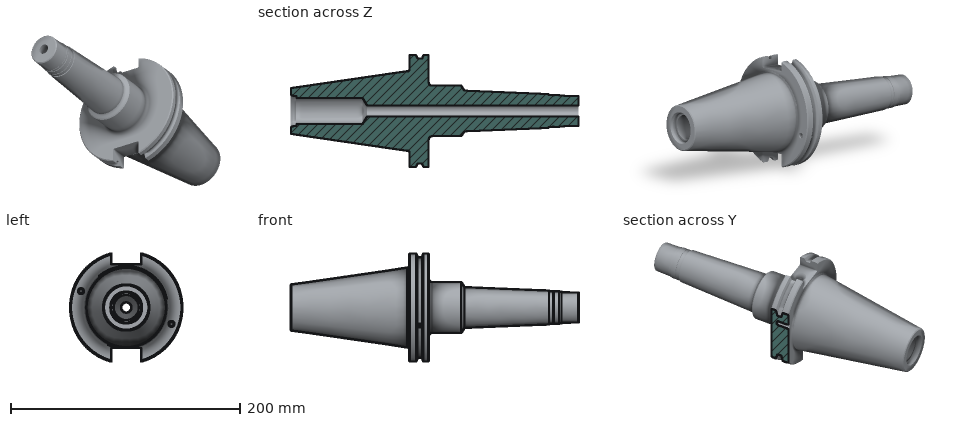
import cadquery as cq
import math

total_length = 251.5
taper_length = 101.6
flange_start = 103.5
flange_end = 120.8
collar_end = 149.5
shoulder_end = 151.0
neck_start = 151.7
neck_end = 225.5

taper_ratio = 7 / 24
gauge_diameter = 70.0
small_end_diameter = gauge_diameter - taper_length * taper_ratio
small_end_chamfer = 0.8
relief_diameter = 69.2
relief_fillet = 1.64

flange_diameter = 98.0
flange_chamfer = 0.88
groove_center = 112.7
groove_floor_diameter = 91.8
groove_floor_width = 3.5
groove_flank_angle = 26.0

slot_width = 26.2
slot_corner_fillet = 0.63
upper_slot_height = 37.7
lower_slot_height = 35.5
dimple_diameter = 9.5

collar_diameter = 44.5
collar_fillet = 2.8
collar_chamfer = 0.8
shoulder_diameter = 38.2
neck_start_diameter = 36.0
neck_end_diameter = 30.0

ring_diameter = 28.5
nose_diameter = 27.2
tip_diameter = 26.5
tip_chamfer = 0.8
ring_groove_depth = 0.38
first_ring_groove_start = 229.0
first_ring_groove_width = 0.8
second_ring_groove_start = 234.2
second_ring_groove_width = 2.3

counterbore_diameter = 26.2
counterbore_depth = 5.0
counterbore_chamfer_diameter = 28.0
counterbore_chamfer_depth = 2.3
bore_diameter = 22.0
bore_depth = 63.0
through_diameter = 8.8

drill_point_angle = 118.0

coolant_angle = 20.0
coolant_radius = 42.0
coolant_entry_diameter = 5.0
coolant_entry_depth = 1.3
coolant_hole_diameter = 4.0
radial_hole_diameter = 3.3


def drill_point_length(diameter):
    """Length of the cone left by a drill of the given diameter."""
    return diameter / 2 / math.tan(math.radians(drill_point_angle / 2))


def revolve_about_x(points):
    """Turn a closed (x, radius) outline about the X axis."""
    return cq.Workplane("XY").polyline(points).close().revolve(360, (0, 0, 0), (1, 0, 0))


def make_body():
    """Turned outside shape."""
    small_r = small_end_diameter / 2
    flange_r = flange_diameter / 2
    floor_r = groove_floor_diameter / 2
    collar_r = collar_diameter / 2
    nose_r = nose_diameter / 2
    ring_r = ring_diameter / 2
    tip_r = tip_diameter / 2
    floor_half = groove_floor_width / 2
    mouth_half = floor_half + (flange_r - floor_r) * math.tan(math.radians(groove_flank_angle))
    relief_r = relief_diameter / 2
    relief_middle = relief_fillet * (1 - math.sqrt(0.5))
    fillet_middle = collar_fillet * (1 - math.sqrt(0.5))
    ring_zone_end = second_ring_groove_start + second_ring_groove_width
    return (
        cq.Workplane("XY")
        .moveTo(0, 0)
        .lineTo(0, small_r - small_end_chamfer)
        .lineTo(small_end_chamfer, small_r + small_end_chamfer * taper_ratio / 2)
        .lineTo(taper_length, gauge_diameter / 2)
        .lineTo(taper_length, relief_r)
        .lineTo(flange_start - relief_fillet, relief_r)
        .threePointArc(
            (flange_start - relief_middle, relief_r + relief_middle),
            (flange_start, relief_r + relief_fillet),
        )
        .lineTo(flange_start, flange_r - flange_chamfer)
        .lineTo(flange_start + flange_chamfer, flange_r)
        .lineTo(groove_center - mouth_half, flange_r)
        .lineTo(groove_center - floor_half, floor_r)
        .lineTo(groove_center + floor_half, floor_r)
        .lineTo(groove_center + mouth_half, flange_r)
        .lineTo(flange_end - flange_chamfer, flange_r)
        .lineTo(flange_end, flange_r - flange_chamfer)
        .lineTo(flange_end, collar_r + collar_fillet)
        .threePointArc(
            (flange_end + fillet_middle, collar_r + fillet_middle),
            (flange_end + collar_fillet, collar_r),
        )
        .lineTo(collar_end - collar_chamfer, collar_r)
        .lineTo(collar_end, collar_r - collar_chamfer)
        .lineTo(shoulder_end, shoulder_diameter / 2)
        .lineTo(neck_start, neck_start_diameter / 2)
        .lineTo(neck_end, neck_end_diameter / 2)
        .lineTo(neck_end, ring_r)
        .lineTo(ring_zone_end, ring_r)
        .lineTo(ring_zone_end, nose_r)
        .lineTo(total_length - tip_chamfer, tip_r)
        .lineTo(total_length, tip_r - tip_chamfer)
        .lineTo(total_length, 0)
        .close()
        .revolve(360, (0, 0, 0), (1, 0, 0))
    )


def make_ring_groove(start, width):
    """Shallow square groove around the ring zone of the nose."""
    outer_r = ring_diameter / 2
    floor_r = outer_r - ring_groove_depth
    return revolve_about_x([
        (start, floor_r),
        (start, outer_r),
        (start + width, outer_r),
        (start + width, floor_r),
    ])


def make_bore():
    """Stepped bore from the small end, with a conical bottom and a through hole."""
    through_r = through_diameter / 2
    cone_length = drill_point_length(bore_diameter - through_diameter)
    return revolve_about_x([
        (0, 0),
        (0, counterbore_chamfer_diameter / 2),
        (counterbore_chamfer_depth, counterbore_diameter / 2),
        (counterbore_depth, counterbore_diameter / 2),
        (counterbore_depth, bore_diameter / 2),
        (bore_depth, bore_diameter / 2),
        (bore_depth + cone_length, through_r),
        (total_length, through_r),
        (total_length, 0),
    ])


def make_drive_slots():
    """Slots through the flange above and below the axis, with filleted floor corners."""
    slot_length = flange_end - taper_length
    slot_x = (taper_length + flange_end) / 2
    slot = (
        cq.Workplane("XY")
        .box(slot_length, slot_width, flange_diameter / 2, centered=(True, True, False))
        .edges("|X and <Z")
        .fillet(slot_corner_fillet)
        .translate((slot_x, 0, 0))
    )
    upper = slot.translate((0, 0, upper_slot_height))
    lower = slot.rotate((0, 0, 0), (1, 0, 0), 180).translate((0, 0, -lower_slot_height))
    return upper.union(lower)


def make_dimple():
    """Conical dimple in the floor of the upper slot."""
    depth = drill_point_length(dimple_diameter)
    cone = cq.Solid.makeCone(
        dimple_diameter / 2, 0, depth, cq.Vector(groove_center, 0, upper_slot_height), cq.Vector(0, 0, -1)
    )
    return cq.Workplane(cone)


def make_axial_drill():
    """Stepped, pointed hole running along X from the flange face."""
    entry_r = coolant_entry_diameter / 2
    hole_r = coolant_hole_diameter / 2
    hole_end = groove_center + radial_hole_diameter / 2
    drill = revolve_about_x([
        (flange_start, 0),
        (flange_start, entry_r),
        (flange_start + coolant_entry_depth, entry_r),
        (flange_start + coolant_entry_depth, hole_r),
        (hole_end, hole_r),
        (hole_end + drill_point_length(coolant_hole_diameter), 0),
    ])
    return drill.translate((0, coolant_radius, 0))


def make_radial_drill():
    """Radial hole from the axial coolant hole out through the groove floor."""
    length = flange_diameter / 2 - coolant_radius
    center = cq.Vector(groove_center, coolant_radius, 0)
    return cq.Workplane(cq.Solid.makeCylinder(radial_hole_diameter / 2, length, center, cq.Vector(0, 1, 0)))


result = make_body().cut(make_bore()).cut(make_drive_slots()).cut(make_dimple())
for start, width in (
    (first_ring_groove_start, first_ring_groove_width),
    (second_ring_groove_start, second_ring_groove_width),
):
    result = result.cut(make_ring_groove(start, width))
for angle in (coolant_angle, coolant_angle + 180):
    for drill in (make_axial_drill(), make_radial_drill()):
        result = result.cut(drill.rotate((0, 0, 0), (1, 0, 0), angle))
result = cq.Workplane(result.solids().val())